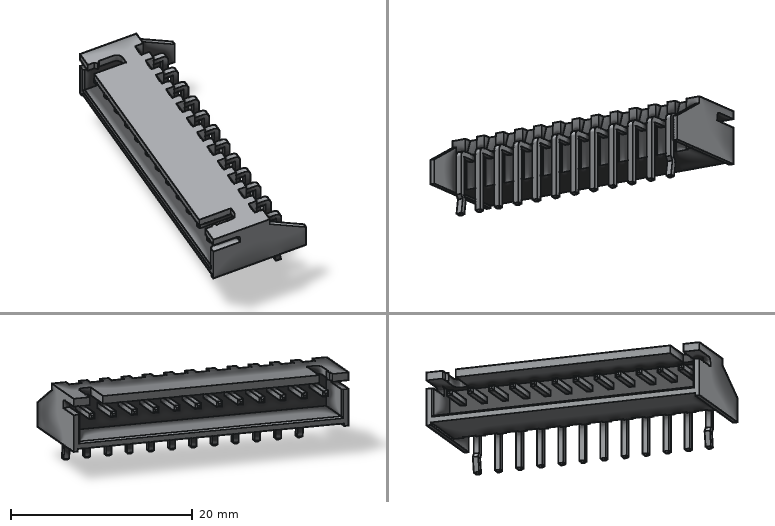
import cadquery as cq


length = 32.4
height = 6.1
housing_depth = 7.0
floor_underside = 0.3
side_wall_depth = 11.5
side_wall_thickness = 0.52
side_wall_back_height = 2.8
side_wall_slope_top = 5.3

cavity_wall = 0.8
cavity_floor = 1.1
cavity_top = 5.2
cavity_depth = 5.0
mouth_chamfer = 0.2

window_depth = 3.35
window_bottom = 4.2
window_radius = 0.5
key_slot_inset = 1.9
key_slot_width = 1.55
key_slot_depth = 3.95
key_slot_radius = 0.78
rib_place = 1.1
rib_height = 0.3
rib_base = 0.58

pin_count = 12
pin_span = 27.5
pin_pitch = pin_span / (pin_count - 1)
pin_size = 0.65
pin_height = 3.7
pin_front = 0.52
pin_back = 9.53
pin_bottom = -3.4
pin_bend_radius = 0.7
pin_tip_chamfer = 0.2
kink_start = -1.05
kink_peak = -1.52
kink_offset = 0.32

relief_width = 1.5
relief_top_depth = 1.0
relief_bottom_depth = 0.3
relief_ramp_end = 4.2

half_length = length / 2
pin_places = [(i - (pin_count - 1) / 2) * pin_pitch for i in range(pin_count)]


def box(x_min, x_max, y_min, y_max, z_min, z_max):
    """Box given by its limits along each axis."""
    size = (x_max - x_min, y_max - y_min, z_max - z_min)
    return cq.Workplane("XY").box(*size, centered=False).translate((x_min, y_min, z_min))


def side_profile(points, x_centre, width):
    """Closed (y, z) outline extruded along X about x_centre."""
    outline = cq.Workplane("YZ").polyline(points).close()
    return outline.extrude(width / 2, both=True).translate((x_centre, 0, 0))


def both_ends(shape):
    """The shape together with its mirror image at the other end of the row."""
    return shape.union(shape.mirror("YZ"))


def make_side_wall():
    points = [
        (0, 0),
        (side_wall_depth, 0),
        (side_wall_depth, side_wall_back_height),
        (housing_depth, side_wall_slope_top),
        (housing_depth, height),
        (0, height),
    ]
    return side_profile(points, side_wall_thickness / 2 - half_length, side_wall_thickness)


def make_cavity():
    half_width = half_length - cavity_wall
    cavity = box(-half_width, half_width, 0, cavity_depth, cavity_floor, cavity_top)
    mouth = (
        cq.Workplane("XZ")
        .center(0, (cavity_floor + cavity_top) / 2)
        .rect(2 * (half_width + mouth_chamfer), cavity_top - cavity_floor + 2 * mouth_chamfer)
        .workplane(offset=-mouth_chamfer)
        .rect(2 * half_width, cavity_top - cavity_floor)
        .loft(ruled=True)
    )
    roof = box(-half_length, half_length, 0, mouth_chamfer, cavity_top, height)
    return cavity.union(mouth.cut(roof))


def make_side_window():
    """Slot in a side wall, open to the front, with a rounded upper inner corner."""
    window = box(
        -half_length, cavity_wall - half_length, 0, window_depth, window_bottom, cavity_top
    )
    return window.edges("|X and >Y and >Z").fillet(window_radius)


def make_key_slot():
    """Slot in the roof, open to the front, with a triangular rib on its outer side."""
    outer_side = key_slot_inset - half_length
    slot = box(outer_side, outer_side + key_slot_width, 0, key_slot_depth, cavity_top, height)
    slot = slot.edges("|Z and >Y and <X").fillet(key_slot_radius)
    rib = (
        cq.Workplane("XY", origin=(outer_side, rib_place, cavity_top))
        .polyline([(0, -rib_base / 2), (rib_height, 0), (0, rib_base / 2)])
        .close()
        .extrude(height - cavity_top)
    )
    return slot.cut(rib)


def make_relief(x):
    """Channel down the back of the housing, ramping deeper above the pin."""
    floor = housing_depth - relief_bottom_depth
    points = [
        (housing_depth, 0),
        (floor, 0),
        (floor, relief_ramp_end),
        (housing_depth - relief_top_depth, height),
        (housing_depth, height),
    ]
    return side_profile(points, x, relief_width)


def make_pin(x, kinked):
    """Square right-angle pin; a kinked leg bulges forward to grip its board."""
    leg_front = pin_back - pin_size
    peak = kink_offset if kinked else 0
    pin_top = pin_height + pin_size / 2
    pin_underside = pin_height - pin_size / 2
    points = [
        (pin_front, pin_underside),
        (leg_front, pin_underside),
        (leg_front, kink_start),
        (leg_front - peak, kink_peak),
        (leg_front, pin_bottom),
        (pin_back, pin_bottom),
        (pin_back - peak, kink_peak),
        (pin_back, kink_start),
        (pin_back, pin_top),
        (pin_front, pin_top),
    ]
    pin = side_profile(points, x, pin_size)
    pin = pin.edges("|X and >Z and >Y").fillet(pin_bend_radius)
    pin = pin.faces("<Y").chamfer(pin_tip_chamfer)
    return pin.faces("<Z").chamfer(pin_tip_chamfer)


housing = box(-half_length, half_length, 0, housing_depth, floor_underside, height)
housing = housing.union(both_ends(make_side_wall()))
housing = housing.cut(make_cavity())
housing = housing.cut(both_ends(make_side_window()))
housing = housing.cut(both_ends(make_key_slot()))
for place in pin_places:
    housing = housing.cut(make_relief(place))

result = housing
for place in pin_places:
    is_end_pin = place in (pin_places[0], pin_places[-1])
    result = result.union(make_pin(place, is_end_pin))